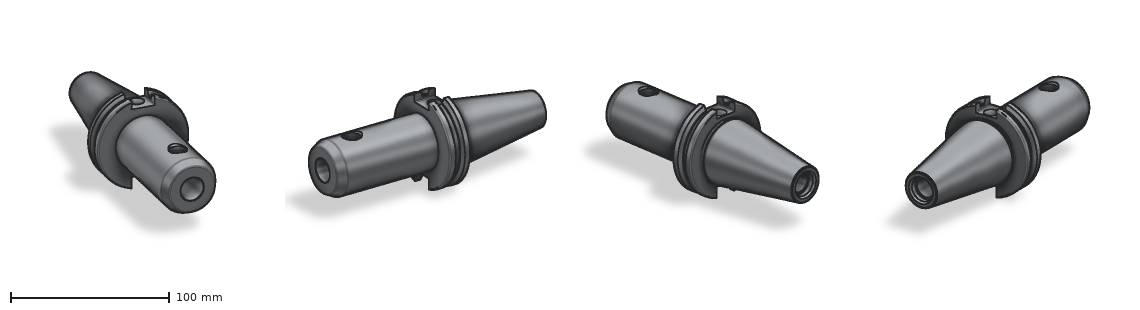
import cadquery as cq
import math

total_length = 163.5
taper_small_radius = 12.3
gauge_radius = 22.2
taper_slope = 7 / 48
taper_end_x = (gauge_radius - taper_small_radius) / taper_slope
small_end_chamfer = 0.7
gauge_land_end_x = 69.5
relief_radius = 21.83
relief_fillet = 0.7

flange_start_x = 71.8
flange_end_x = 87.6
flange_radius = 31.64
flange_rim_round = 1.0
groove_center_x = 79.5
groove_floor_width = 3.8
groove_mouth_width = 7.0
groove_floor_radius = 28.0
groove_wall_angle = 30.0

shank_radius = 19.05
nose_start_x = 157.1
nose_radius = 15.9
nose_round = 1.0
shoulder_round = 1.3

through_diameter = 13.4
pilot_diameter = 16.4
pilot_depth = 5.4
pilot_mouth_diameter = 18.5
pilot_mouth_depth = 1.8
tool_bore_diameter = 15.9
tool_bore_depth = 48.0
tool_bore_chamfer = 0.25

slot_width = 16.0
slot_corner_radius = 0.5
top_slot_floor = 24.9
bottom_slot_floor = 22.4

dimple_x = 77.5
dimple_diameter = 9.5
dimple_point_angle = 118.0
dimple_depth = dimple_diameter / 2 / math.tan(math.radians(dimple_point_angle / 2))

screw_x = 141.1
screw_diameter = 11.3
screw_mouth_diameter = 13.0
screw_mouth_z = 18.6


def cone_along(start, direction, start_radius, end_radius, height):
    """Truncated or full cone starting at a point and running along a direction."""
    cone = cq.Solid.makeCone(start_radius, end_radius, height, cq.Vector(*start), cq.Vector(*direction))
    return cq.Workplane(cone)


def make_body():
    """Revolve the taper and the shank."""
    profile = (
        cq.Workplane("XY")
        .moveTo(0, 0)
        .lineTo(0, taper_small_radius - small_end_chamfer)
        .lineTo(small_end_chamfer, taper_small_radius + small_end_chamfer * taper_slope)
        .lineTo(taper_end_x, gauge_radius)
        .lineTo(gauge_land_end_x, gauge_radius)
        .lineTo(gauge_land_end_x, relief_radius)
        .lineTo(flange_start_x - relief_fillet, relief_radius)
        .radiusArc((flange_start_x, relief_radius + relief_fillet), -relief_fillet)
        .lineTo(flange_start_x, shank_radius)
        .lineTo(nose_start_x, shank_radius)
        .lineTo(total_length, nose_radius)
        .lineTo(total_length, 0)
        .close()
    )
    body = profile.revolve(360, (0, 0, 0), (1, 0, 0))
    body = body.faces(">X").edges().fillet(nose_round)
    shoulder = cq.selectors.NearestToPointSelector((nose_start_x, 0, 0))
    return body.edges("%CIRCLE").edges(shoulder).fillet(shoulder_round)


def make_flange():
    """Rounded disc with a V groove around its rim and two drive slots."""
    flange = (
        cq.Workplane("YZ", origin=(flange_start_x, 0, 0))
        .circle(flange_radius)
        .extrude(flange_end_x - flange_start_x)
        .edges()
        .fillet(flange_rim_round)
    )
    half_floor = groove_floor_width / 2
    half_mouth = groove_mouth_width / 2
    wall_height = (half_mouth - half_floor) / math.tan(math.radians(groove_wall_angle))
    wall_foot_radius = flange_radius - wall_height
    outside_radius = flange_radius + 1.6
    groove = (
        cq.Workplane("XY", origin=(groove_center_x, 0, 0))
        .moveTo(-half_floor, groove_floor_radius)
        .lineTo(-half_floor, wall_foot_radius)
        .lineTo(-half_mouth, flange_radius)
        .lineTo(-half_mouth, outside_radius)
        .lineTo(half_mouth, outside_radius)
        .lineTo(half_mouth, flange_radius)
        .lineTo(half_floor, wall_foot_radius)
        .lineTo(half_floor, groove_floor_radius)
        .close()
        .revolve(360, (0, 0, 0), (1, 0, 0))
    )
    flange = flange.cut(groove)
    for side, floor in ((1, top_slot_floor), (-1, bottom_slot_floor)):
        slot_depth = outside_radius - floor
        slot = cq.Workplane("XY").box(total_length, slot_width, slot_depth)
        slot = slot.faces("<Z" if side > 0 else ">Z").edges("|X").fillet(slot_corner_radius)
        slot_center = (total_length / 2, 0, side * (floor + slot_depth / 2))
        flange = flange.cut(slot.translate(slot_center))
    dimple = cone_along((dimple_x, 0, top_slot_floor), (0, 0, -1), dimple_diameter / 2, 0, dimple_depth)
    return flange.cut(dimple)


def make_axial_bores():
    """Stepped bore through the whole holder, with chamfered mouths."""
    def bore(start_x, diameter, length):
        return cq.Workplane("YZ", origin=(start_x, 0, 0)).circle(diameter / 2).extrude(length)

    pilot_mouth = cone_along((0, 0, 0), (1, 0, 0), pilot_mouth_diameter / 2, pilot_diameter / 2, pilot_mouth_depth)
    tool_radius = tool_bore_diameter / 2
    tool_mouth = cone_along(
        (total_length, 0, 0), (-1, 0, 0), tool_radius + tool_bore_chamfer, tool_radius, tool_bore_chamfer
    )
    return (
        bore(0, through_diameter, total_length)
        .union(bore(0, pilot_diameter, pilot_depth))
        .union(pilot_mouth)
        .union(bore(total_length - tool_bore_depth, tool_bore_diameter, tool_bore_depth))
        .union(tool_mouth)
    )


def make_screw_hole():
    """Radial hole from the top of the shank into the tool bore, with a conical mouth."""
    hole = cq.Workplane("XY", origin=(screw_x, 0, 0)).circle(screw_diameter / 2).extrude(shank_radius)
    outer_radius = screw_mouth_diameter / 2 + shank_radius - screw_mouth_z
    inner_radius = screw_diameter / 2
    mouth = cone_along(
        (screw_x, 0, shank_radius), (0, 0, -1), outer_radius, inner_radius, outer_radius - inner_radius
    )
    return hole.union(mouth)


result = make_body().union(make_flange()).cut(make_axial_bores()).cut(make_screw_hole())